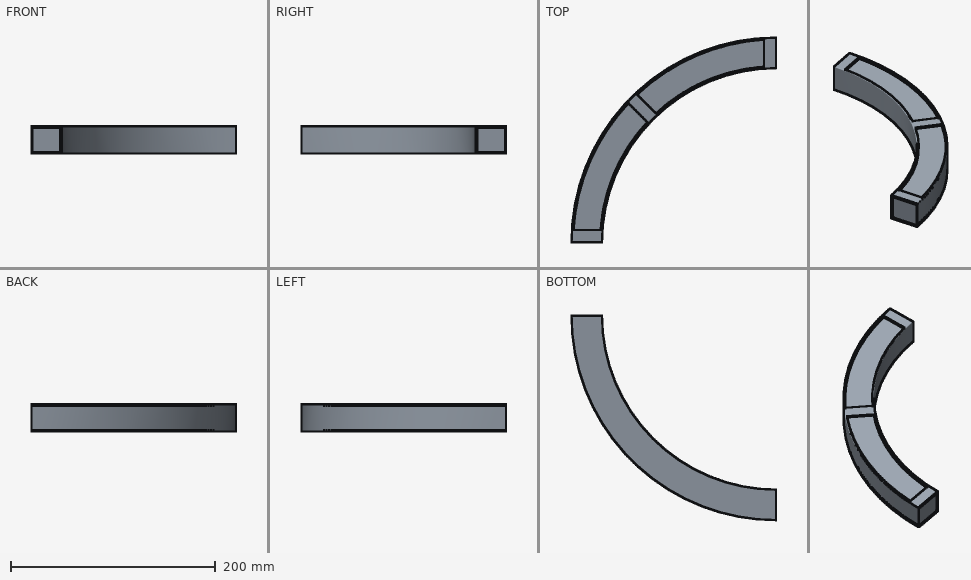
import cadquery as cq
import math

outer_radius = 200.0
channel_width = 30.0
height = 27.0
edge_fillet = 0.8
outer_wall = 1.0
inner_wall = 2.0
cover_thickness = 1.8

bar_width = 12.0
window_outer_radius = 198.2
bar_angle = 45.0

inner_radius = outer_radius - channel_width
core_outer_radius = outer_radius - outer_wall
core_inner_radius = inner_radius + inner_wall
core_height = height - 2 * cover_thickness


def quarter_ring(outer, inner, bottom, thickness):
    """Ring sector between the -X and +Y directions."""
    diagonal = math.sqrt(0.5)
    return (
        cq.Workplane("XY", origin=(0, 0, bottom))
        .moveTo(-outer, 0)
        .threePointArc((-outer * diagonal, outer * diagonal), (0, outer))
        .lineTo(0, inner)
        .threePointArc((-inner * diagonal, inner * diagonal), (-inner, 0))
        .close()
        .extrude(thickness)
    )


def bar(direction, width):
    """Straight radial bar through the roof, centred on the given direction in degrees."""
    return (
        cq.Workplane("XY", origin=(0, 0, height - cover_thickness))
        .rect(2 * outer_radius, width)
        .extrude(cover_thickness)
        .rotate((0, 0, 0), (0, 0, 1), direction)
    )


def roof_windows():
    windows = quarter_ring(
        window_outer_radius, core_inner_radius, height - cover_thickness, cover_thickness
    )
    for end_direction in (0, 90):
        windows = windows.cut(bar(end_direction, 2 * bar_width))
    return windows.cut(bar(-bar_angle, bar_width))


def make_core():
    return quarter_ring(core_outer_radius, core_inner_radius, cover_thickness, core_height)


def make_channel():
    body = quarter_ring(outer_radius, inner_radius, 0, height)
    body = body.edges("%CIRCLE").fillet(edge_fillet)
    return body.cut(make_core()).cut(roof_windows())


channel = make_channel()
core = make_core()

result = cq.Compound.makeCompound([channel.val(), core.val()])